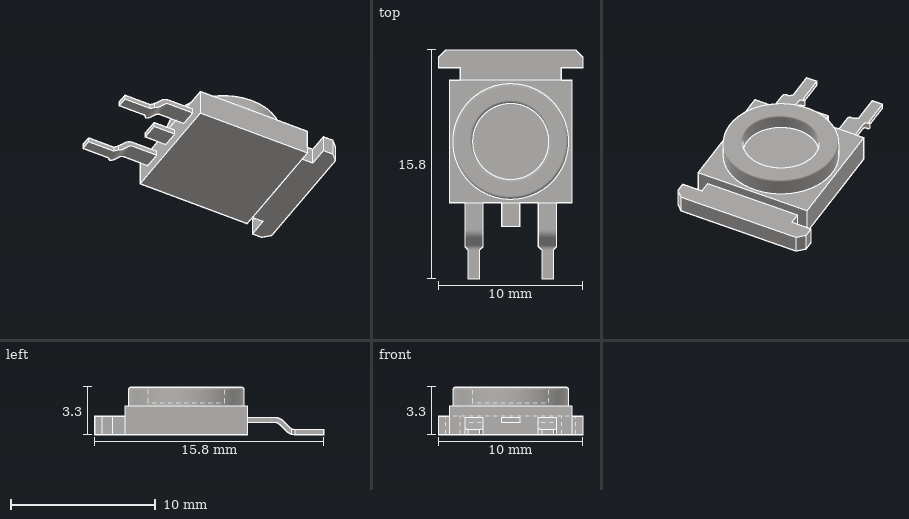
import cadquery as cq
import math


OVERALL_LENGTH = 15.85

HOUSING_SIDE = 8.5
HOUSING_HEIGHT = 2.0
HALF_HOUSING = HOUSING_SIDE / 2

CAP_DIAMETER = 8.0
CAP_HEIGHT = 1.3
DISH_DIAMETER = 5.26
DISH_DEPTH = 1.1
CAP_EDGE_RADIUS = 0.2

TAB_WIDTH = 10.0
TAB_LENGTH = 2.1
TAB_HEIGHT = 1.28
TAB_HEAD_LENGTH = 1.25
TAB_CHAMFER = 0.5
NECK_WIDTH = 7.0
NECK_LENGTH = TAB_LENGTH - TAB_HEAD_LENGTH

LEAD_PITCH = 2.54
LEAD_WIDTH = 1.27
LEAD_THICKNESS = 0.36
LEAD_TOP = 1.2
STUB_LENGTH = 1.63
LEAD_LENGTH = OVERALL_LENGTH - TAB_LENGTH - HOUSING_SIDE
LEAD_STRAIGHT = 1.87
BEND_ANGLE = math.radians(45)
BEND_INNER_RADIUS = 0.48
BEND_OUTER_RADIUS = BEND_INNER_RADIUS + LEAD_THICKNESS
TIP_WIDTH = 0.81
TIP_OFFSET = 0.024
TAPER_LENGTH = 0.24


def make_housing():
    return cq.Workplane("XY").box(
        HOUSING_SIDE, HOUSING_SIDE, HOUSING_HEIGHT, centered=(True, True, False)
    )


def make_cap():
    cap = cq.Workplane("XY", origin=(0, 0, HOUSING_HEIGHT)).circle(CAP_DIAMETER / 2).extrude(CAP_HEIGHT)
    cap = cap.faces(">Z").workplane().hole(DISH_DIAMETER, DISH_DEPTH)
    return cap.faces(">Z").edges().fillet(CAP_EDGE_RADIUS)


def make_tab():
    head = (
        cq.Workplane("XY", origin=(0, HALF_HOUSING + NECK_LENGTH, 0))
        .box(TAB_WIDTH, TAB_HEAD_LENGTH, TAB_HEIGHT, centered=(True, False, False))
        .edges("|Z and >Y")
        .chamfer(TAB_CHAMFER)
    )
    neck = cq.Workplane("XY", origin=(0, HALF_HOUSING, 0)).box(
        NECK_WIDTH, NECK_LENGTH, TAB_HEIGHT, centered=(True, False, False)
    )
    return head.union(neck)


def make_stub_lead():
    return cq.Workplane("XY", origin=(0, -HALF_HOUSING - STUB_LENGTH, LEAD_TOP - LEAD_THICKNESS)).box(
        LEAD_WIDTH, STUB_LENGTH, LEAD_THICKNESS, centered=(True, False, False)
    )


LEAD_DROP = LEAD_TOP - LEAD_THICKNESS
BENDS_DROP = (BEND_INNER_RADIUS + BEND_OUTER_RADIUS) * (1 - math.cos(BEND_ANGLE))
SLOPE_RUN = (LEAD_DROP - BENDS_DROP) / math.tan(BEND_ANGLE)
BENDS_RUN = (BEND_INNER_RADIUS + BEND_OUTER_RADIUS) * math.sin(BEND_ANGLE)
UPPER_BEND_Y = -HALF_HOUSING - LEAD_STRAIGHT
LOWER_BEND_Y = UPPER_BEND_Y - BENDS_RUN - SLOPE_RUN
LEAD_END_Y = -HALF_HOUSING - LEAD_LENGTH


def upper_bend_point(radius, angle):
    centre_z = LEAD_TOP - BEND_OUTER_RADIUS
    return (UPPER_BEND_Y - radius * math.sin(angle), centre_z + radius * math.cos(angle))


def lower_bend_point(radius, angle):
    return (LOWER_BEND_Y + radius * math.sin(angle), BEND_OUTER_RADIUS - radius * math.cos(angle))


def make_lead_profile():
    half_angle = BEND_ANGLE / 2
    return (
        cq.Workplane("YZ")
        .moveTo(-HALF_HOUSING, LEAD_TOP)
        .lineTo(UPPER_BEND_Y, LEAD_TOP)
        .threePointArc(
            upper_bend_point(BEND_OUTER_RADIUS, half_angle), upper_bend_point(BEND_OUTER_RADIUS, BEND_ANGLE)
        )
        .lineTo(*lower_bend_point(BEND_INNER_RADIUS, BEND_ANGLE))
        .threePointArc(
            lower_bend_point(BEND_INNER_RADIUS, half_angle), lower_bend_point(BEND_INNER_RADIUS, 0)
        )
        .lineTo(LEAD_END_Y, LEAD_THICKNESS)
        .lineTo(LEAD_END_Y, 0)
        .lineTo(LOWER_BEND_Y, 0)
        .threePointArc(
            lower_bend_point(BEND_OUTER_RADIUS, half_angle), lower_bend_point(BEND_OUTER_RADIUS, BEND_ANGLE)
        )
        .lineTo(*upper_bend_point(BEND_INNER_RADIUS, BEND_ANGLE))
        .threePointArc(
            upper_bend_point(BEND_INNER_RADIUS, half_angle), upper_bend_point(BEND_INNER_RADIUS, 0)
        )
        .lineTo(-HALF_HOUSING, LEAD_TOP - LEAD_THICKNESS)
        .close()
    )


def make_bent_lead(side):
    """Bent lead with a narrowed tip; side is -1 or +1 along X."""
    half_width = LEAD_WIDTH / 2
    tip_centre = side * TIP_OFFSET
    tip_left = tip_centre - TIP_WIDTH / 2
    tip_right = tip_centre + TIP_WIDTH / 2
    taper_start_y = LOWER_BEND_Y + TAPER_LENGTH
    bent_strip = make_lead_profile().extrude(half_width, both=True)
    plan_outline = (
        cq.Workplane("XY")
        .polyline([
            (-half_width, -HALF_HOUSING),
            (-half_width, taper_start_y),
            (tip_left, LOWER_BEND_Y),
            (tip_left, LEAD_END_Y),
            (tip_right, LEAD_END_Y),
            (tip_right, LOWER_BEND_Y),
            (half_width, taper_start_y),
            (half_width, -HALF_HOUSING),
        ])
        .close()
        .extrude(LEAD_TOP)
    )
    return bent_strip.intersect(plan_outline).translate((side * LEAD_PITCH, 0, 0))


housing = make_housing()
cap = make_cap()
tab = make_tab()
stub_lead = make_stub_lead()
bent_leads = []
for side in (-1, 1):
    bent_leads.append(make_bent_lead(side).solids().val())

result = cq.Compound.makeCompound([
    housing.val(),
    cap.solids().val(),
    tab.solids().val(),
    stub_lead.val(),
    *bent_leads,
])